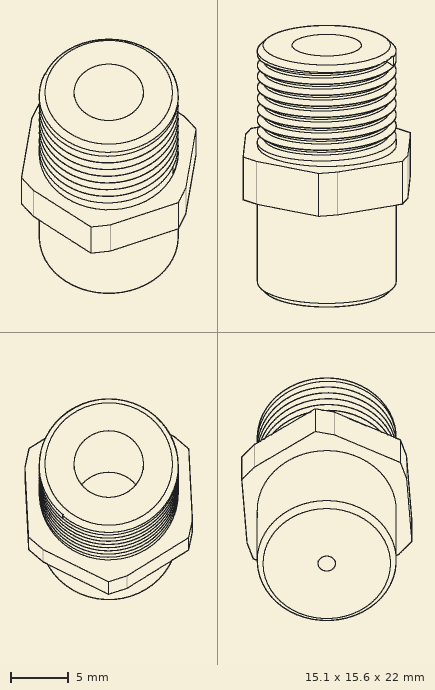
import cadquery as cq
import math

length = 22.0
body_radius = 6.0
end_chamfer = 0.5

hex_height = 3.9
hex_bottom = (length - hex_height) / 2
hex_across_flats = 14.21
hex_angle = 14.4
trim_across_flats = 15.11

bore_radius = 3.0
orifice_radius = 0.75
bore_floor = hex_bottom
floor_cone_angle = 60.0
cone_depth = (bore_radius - orifice_radius) / math.tan(math.radians(floor_cone_angle / 2))

thread_turns = 7.5
thread_rise = 7.48
thread_pitch = thread_rise / thread_turns
thread_start = 13.65
groove_depth = 0.57
groove_root_width = 0.25
crest_width = 0.02
groove_mouth_width = thread_pitch - crest_width
cutter_overshoot = 0.01


def hex_prism(across_flats, flat_angle):
    """Hexagonal prism at collar height, one flat facing flat_angle from +X."""
    across_corners = across_flats / math.cos(math.pi / 6)
    prism = (
        cq.Workplane("XY")
        .workplane(offset=hex_bottom)
        .polygon(6, across_corners)
        .extrude(hex_height)
    )
    return prism.rotate((0, 0, 0), (0, 0, 1), flat_angle - 30)


def thread_groove():
    """Right-hand helical cutter with a flat root, starting at +X."""
    root_radius = body_radius - groove_depth
    mouth_radius = body_radius + cutter_overshoot
    half_root = groove_root_width / 2
    half_mouth = groove_mouth_width / 2
    path = cq.Wire.makeHelix(
        thread_pitch, thread_rise, body_radius, center=cq.Vector(0, 0, thread_start)
    )
    return (
        cq.Workplane("XZ")
        .polyline([
            (root_radius, thread_start - half_root),
            (mouth_radius, thread_start - half_mouth),
            (mouth_radius, thread_start + half_mouth),
            (root_radius, thread_start + half_root),
        ])
        .close()
        .sweep(cq.Workplane(obj=path), isFrenet=True)
    )


def bore_cutter():
    """Revolved volume of the wide bore, its conical floor and the orifice."""
    return (
        cq.Workplane("XZ")
        .polyline([
            (0, 0),
            (orifice_radius, 0),
            (orifice_radius, bore_floor - cone_depth),
            (bore_radius, bore_floor),
            (bore_radius, length),
            (0, length),
        ])
        .close()
        .revolve(360, (0, 0, 0), (0, 1, 0))
    )


body = (
    cq.Workplane("XY")
    .circle(body_radius)
    .extrude(length)
    .faces("<Z or >Z")
    .chamfer(end_chamfer)
)
collar = hex_prism(hex_across_flats, hex_angle).intersect(hex_prism(trim_across_flats, 0))

result = body.cut(thread_groove()).union(collar).cut(bore_cutter())